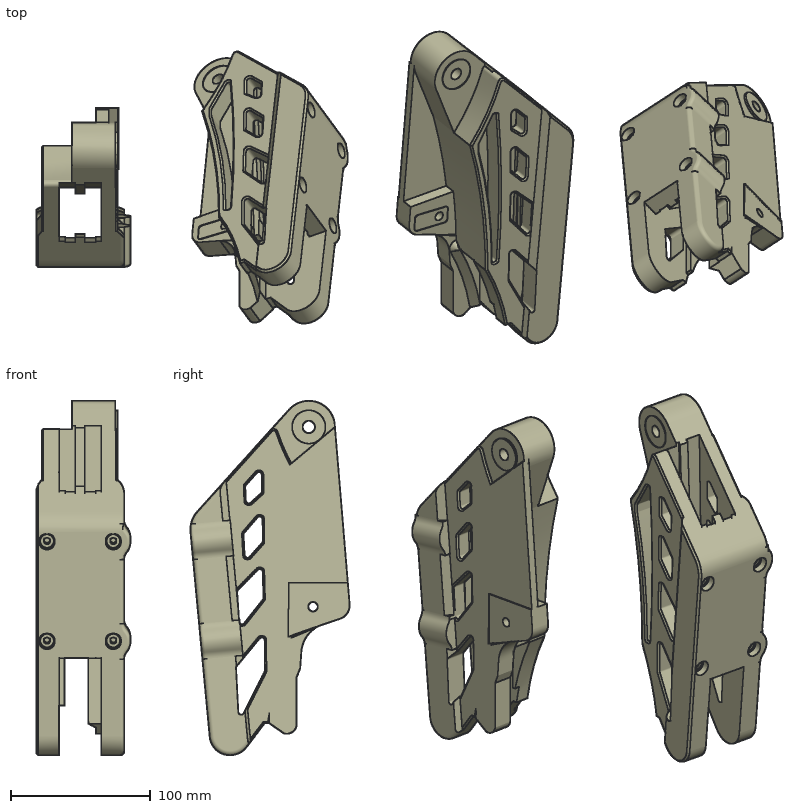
import cadquery as cq
import math

rail_left = 0.0
body_left = 3.8
pocket_left = 16.3
pocket_right = 46.5
tower_left = 25.5
tower_right = 56.5
body_right = 58.1
rail_right = 63.0

nose = (-1.0, 168.0)
lobe_centre = (28.2, 14.7)
lobe_radius = 14.7
eye_centre = (84.5, 235.0)
eye_radius = 18.8
lower_notch = (52.8, 22.9)
waist = (56.4, 22.9)
waist_bulge = (63.0, 50.3)
back_low = (73.5, 75.7)
back_top = (86.8, 186.4)
shoulder_y = 60.7
tower_foot_y = 55.9
tower_foot_low = (62.2, 193.0)
nose_radius = 19.0
shoulder_radius = 3.0

side_chamfer = 1.3
rail_left_chamfer = 1.5
rail_right_round = 3.0

rail_depth = 29.0
rail_ramp = 5.0
rail_foot_ramp = 2.0
rail_foot_top = 40.5

pocket_front_top = (18.3, 187.5)
pocket_front_low = (21.5, 69.5)
pocket_back_top = (60.2, 234.9)
pocket_back_low = (56.5, 69.5)
fork_top = 69.5
rear_slot_top = 76.2
rear_slot_left = 20.3
rear_slot_right = 37.0
left_lip_bottom = 35.5
guide_left = 28.0
guide_right = 34.8
guide_front_top = (21.0, 190.7)
guide_front_low = (23.5, 69.5)
guide_back_top = (58.7, 233.5)
guide_back_low = (51.5, 69.5)
relief_left = 20.5
relief_right = 42.7
relief_depth = 0.8

eye_hole_radius = 4.3
eye_ring_radius = 12.0
recess_depth = 0.5
web_left = 51.8
ear_left = 42.7
ear_right = 59.0
flange_ramp_angle = 45.0
ear_top = 123.5
ear_corner = (114.5, 100.3)
ear_corner_radius = 10.2
ear_root = (91.5, 92.5)
ear_inner_low = (69.8, 84.8)
ear_inner_top = (71.0, 208.2)
ear_hole_centre = (87.5, 106.5)
ear_hole_radius = 3.3
ear_recess_centre = (94.7, 107.0)
ear_recess_length = 28.5
ear_recess_height = 13.2
ear_recess_tilt = 3.3
ear_recess_corner_radius = 2.5

window_corner_radius = 2.0
groove_depth = 15.2
groove_corner_radius = 1.5

screw_xs = (7.5, 55.0)
screw_zs = (152.9, 81.5)
screw_hole_radius = 2.3
screw_head_radius = 4.8
screw_rim_radius = 5.5
screw_head_depth = 6.3
screw_hole_depth = 17.8
boss_radius = 12.5
boss_blend_radius = 7.5
boss_length = 29.2
boss_round = 2.5

far = 304.7


def tangent_point(outside, centre, radius, side):
    """Touch point on a circle of the tangent from an outside point; side is +1 or -1."""
    dy = outside[0] - centre[0]
    dz = outside[1] - centre[1]
    angle = math.atan2(dz, dy) + side * math.acos(radius / math.hypot(dy, dz))
    return (centre[0] + radius * math.cos(angle), centre[1] + radius * math.sin(angle))


def profile(x, start):
    """A sketch pen in the YZ plane at station x."""
    return cq.Workplane("YZ", origin=(x, 0, 0)).moveTo(*start)


def prism(x0, x1, points):
    return cq.Workplane("YZ", origin=(x0, 0, 0)).polyline(points).close().extrude(x1 - x0)


def cylinder(x0, x1, centre, radius):
    return cq.Workplane("YZ", origin=(x0, 0, 0)).center(*centre).circle(radius).extrude(x1 - x0)


front_touch = tangent_point(nose, lobe_centre, lobe_radius, 1)
rear_touch = tangent_point(lower_notch, lobe_centre, lobe_radius, -1)
eye_front = tangent_point(nose, eye_centre, eye_radius, -1)
eye_back = tangent_point(back_top, eye_centre, eye_radius, 1)
lobe_bottom = (lobe_centre[0], lobe_centre[1] - lobe_radius)
eye_top = (eye_centre[0], eye_centre[1] + eye_radius)
slant_slope = (eye_front[1] - nose[1]) / (eye_front[0] - nose[0])
rail_tilt = math.degrees(math.atan2(front_touch[0] - nose[0], nose[1] - front_touch[1]))


def slant_point(y):
    """Point on the slanted top line, which is tangent to the eye."""
    return (y, nose[1] + slant_slope * (y - nose[0]))


shoulder = slant_point(shoulder_y)


def main_plate(x0, x1):
    """Side outline: raked front, round lower lobe, waisted rear and slanted top."""
    plate = (
        profile(x0, nose)
        .lineTo(*front_touch)
        .threePointArc(lobe_bottom, rear_touch)
        .lineTo(*lower_notch)
        .lineTo(*waist)
        .threePointArc(waist_bulge, back_low)
        .threePointArc((76.7, 132.0), back_top)
        .threePointArc((71.5, 209.7), shoulder)
        .close()
        .extrude(x1 - x0)
    )
    middle_x = (x0 + x1) / 2
    plate = plate.edges(cq.selectors.NearestToPointSelector((middle_x, *nose))).fillet(nose_radius)
    return plate.edges(cq.selectors.NearestToPointSelector((middle_x, *shoulder))).fillet(shoulder_radius)


def windows():
    """Four round-cornered openings through both side walls, listed from the top down."""
    outlines = (
        ((52.0, 209.2), (37.8, 193.5), (38.5, 175.2), (52.3, 187.6)),
        ((52.5, 177.7), (36.5, 159.2), (37.8, 135.3), (52.8, 152.0)),
        ((52.5, 139.1), (32.0, 118.3), (34.0, 87.0), (53.3, 111.5)),
        ((54.0, 91.5), (31.2, 63.7), (33.5, 18.5), (54.3, 60.0)),
    )
    tools = cq.Workplane("YZ")
    for outline in outlines:
        sketch = cq.Workplane("YZ", origin=(rail_left, 0, 0)).polyline(outline).close()
        opening = sketch.offset2D(-side_chamfer).extrude(rail_right - rail_left)
        tools = tools.union(opening.edges("|X").fillet(window_corner_radius))
    return tools


def side_groove():
    """Blade-shaped pocket in the left wall along the rear edge."""
    groove = (
        profile(body_left, (69.0, 78.7))
        .lineTo(62.7, 78.7)
        .threePointArc((60.5, 147.3), (63.0, 207.2))
        .lineTo(67.5, 207.2)
        .lineTo(80.5, 185.4)
        .lineTo(80.5, 178.5)
        .threePointArc((72.9, 139.7), (69.0, 78.7))
        .close()
        .offset2D(-side_chamfer)
        .extrude(groove_depth)
    )
    return groove.edges("|X").fillet(groove_corner_radius)


def body():
    block = main_plate(body_left, body_right).cut(windows()).cut(side_groove())
    return block.faces("<X").chamfer(side_chamfer).faces(">X").chamfer(side_chamfer)


def rail_band(ramp):
    """Tilted bar that holds the rails; its rear flanks slope over the ramp length."""
    return (
        cq.Workplane("XY", origin=(0, nose[0], nose[1] - far))
        .polyline([
            (rail_left, -rail_depth),
            (rail_left, rail_depth - ramp),
            (body_left, rail_depth),
            (body_right, rail_depth),
            (rail_right, rail_depth - ramp),
            (rail_right, -rail_depth),
        ])
        .close()
        .extrude(2 * far)
        .rotate((0, *nose), (1, *nose), rail_tilt)
    )


def rails():
    """Raised front bands on both sides, ramped at the rear and steeper at the foot."""
    slab = main_plate(rail_left, rail_right)
    slab = slab.faces("<X").chamfer(rail_left_chamfer).faces(">X").edges().fillet(rail_right_round)
    foot_zone = cq.Workplane("XY").box(far, far, far).translate((0, 0, rail_foot_top - far / 2))
    return slab.intersect(rail_band(rail_ramp).union(rail_band(rail_foot_ramp).intersect(foot_zone)))


def tower():
    """Round-headed arm that carries the upper mounting eye."""
    arm = (
        profile(tower_left, slant_point(tower_foot_y))
        .lineTo(*eye_front)
        .threePointArc(eye_top, eye_back)
        .lineTo(*back_top)
        .lineTo(*tower_foot_low)
        .close()
        .extrude(tower_right - tower_left)
    )
    return arm.union(cylinder(tower_right, body_right, eye_centre, eye_ring_radius))


def ear():
    """Thin rear web that thickens below into the lower mounting ear."""
    eye_rear = (eye_centre[0] + eye_radius, eye_centre[1])
    outline = [eye_rear, ear_corner, ear_root, ear_inner_low, ear_inner_top]
    web = prism(web_left, body_right, outline)
    thick = prism(ear_left, ear_right, outline).intersect(
        cq.Workplane("XY").box(far, far, far).translate((0, 0, ear_top - far / 2))
    )
    corner = cq.selectors.NearestToPointSelector(((web_left + body_right) / 2, *ear_corner))
    web = web.edges(corner).fillet(ear_corner_radius)
    thick = thick.edges(corner).fillet(ear_corner_radius)
    return web.union(thick)


def rear_flange():
    """Right-hand flange from the ear down to the round heel, with a ramp up to the inner leg."""
    flange = (
        profile(rear_slot_right, ear_root)
        .threePointArc((82.8, 84.5), (79.2, 72.9))
        .lineTo(78.5, 62.2)
        .lineTo(76.0, 55.9)
        .lineTo(76.0, 21.3)
        .threePointArc((72.5, 16.5), (67.0, 15.5))
        .lineTo(*waist)
        .lineTo(pocket_back_low[0], rear_slot_top)
        .lineTo(back_low[0], ear_inner_low[1])
        .close()
        .extrude(body_right - rear_slot_right)
    )
    ramp = (
        profile(rear_slot_right, waist)
        .threePointArc(waist_bulge, back_low)
        .lineTo(waist[0], back_low[1])
        .close()
        .extrude(ear_left - rear_slot_right, taper=-flange_ramp_angle)
    )
    outer_zone = cq.Workplane("XY").box(far, 2 * far, 2 * far).translate((ear_left + far / 2, 0, 0))
    return flange.intersect(ramp.union(outer_zone))


def chain_pocket():
    """Passage through the full height, with a centre guide strip on its front and back walls."""
    walls = (pocket_front_top, pocket_front_low, pocket_back_low, pocket_back_top)
    guide_walls = (guide_front_top, guide_front_low, guide_back_low, guide_back_top)
    relief_front = [(y - relief_depth, z) for y, z in walls[:2]]

    def passage(x0, x1, front_top, front_low, back_low_end, back_top_end):
        outline = [front_top, front_low, back_low_end, back_top_end]
        return prism(x0, x1, [(front_top[0], far), *outline, (back_top_end[0], far)])

    pocket = passage(guide_left, guide_right, *guide_walls)
    for side_x, relief_x, guide_x in (
        (pocket_left, relief_left, guide_left),
        (pocket_right, relief_right, guide_right),
    ):
        pocket = pocket.union(passage(min(side_x, guide_x), max(side_x, guide_x), *walls))
        relief_ends = (min(relief_x, guide_x), max(relief_x, guide_x))
        pocket = pocket.union(passage(*relief_ends, *relief_front, *walls[2:]))
    return pocket


def fork_opening():
    """Space between the two legs and the slot through the rear wall."""
    fork_back = pocket_back_low[0]
    gap = prism(pocket_left, pocket_right, [
        (-far, -far), (-far, fork_top), (fork_back, fork_top), (fork_back, -far)
    ])
    slot = prism(rear_slot_left, rear_slot_right, [
        (fork_back, -far), (fork_back, rear_slot_top), (far, rear_slot_top), (far, -far)
    ])
    lip = cq.Workplane("XY").box(
        rear_slot_left - pocket_left, far, left_lip_bottom, centered=False
    ).translate((pocket_left, fork_back, 0))
    return gap.union(slot).union(lip)


def along_screw(solid, z):
    """Carry a solid built on the Y axis onto the raked front face at height z."""
    y = nose[0] + (nose[1] - z) * math.tan(math.radians(rail_tilt))
    return solid.rotate((0, 0, 0), (1, 0, 0), rail_tilt).translate((0, y, z))


def front_disc(x, radius, depth):
    return cq.Workplane("XZ").center(x, 0).circle(radius).extrude(-depth)


def screw_hole(x):
    hole = front_disc(x, screw_hole_radius, screw_hole_depth)
    head = front_disc(x, screw_rim_radius, screw_head_depth)
    head = head.faces(">Y").chamfer(screw_rim_radius - screw_head_radius)
    return hole.union(head)


def screw_boss(x):
    """Half-round swelling around a right-hand screw, blended into the rail side."""
    blend_x = rail_right + boss_blend_radius
    blend_z = math.sqrt((boss_radius + boss_blend_radius) ** 2 - (blend_x - x) ** 2)
    share = boss_radius / (boss_radius + boss_blend_radius)
    touch = (x + (blend_x - x) * share, blend_z * share)
    toward = math.atan2(touch[1] - blend_z, touch[0] - blend_x) % (2 * math.pi)
    middle_angle = (toward + math.pi) / 2
    middle = (
        blend_x + boss_blend_radius * math.cos(middle_angle),
        blend_z + boss_blend_radius * math.sin(middle_angle),
    )
    boss = (
        cq.Workplane("XZ")
        .moveTo(x, blend_z)
        .lineTo(rail_right, blend_z)
        .threePointArc(middle, touch)
        .threePointArc((x + boss_radius, 0), (touch[0], -touch[1]))
        .threePointArc((middle[0], -middle[1]), (rail_right, -blend_z))
        .lineTo(x, -blend_z)
        .close()
        .extrude(-boss_length)
    )
    return boss.faces("<Y").edges("%CIRCLE").fillet(boss_round)


result = body().union(rails()).union(tower()).union(ear()).union(rear_flange())
for screw_z in screw_zs:
    boss = along_screw(screw_boss(screw_xs[1]), screw_z)
    result = result.union(boss.intersect(main_plate(rail_left, far)))
result = result.cut(chain_pocket()).cut(fork_opening()).cut(windows())
for screw_z in screw_zs:
    for screw_x in screw_xs:
        result = result.cut(along_screw(screw_hole(screw_x), screw_z))

result = result.cut(cylinder(tower_left, body_right, eye_centre, eye_hole_radius))
result = result.cut(cylinder(tower_left, tower_left + recess_depth, eye_centre, eye_ring_radius))
result = result.cut(cylinder(ear_left, ear_right, ear_hole_centre, ear_hole_radius))
ear_seat = (
    cq.Workplane("YZ", origin=(ear_left, *ear_recess_centre))
    .rect(ear_recess_length, ear_recess_height)
    .extrude(recess_depth)
    .edges("|X")
    .fillet(ear_recess_corner_radius)
    .rotate((0, *ear_recess_centre), (1, *ear_recess_centre), ear_recess_tilt)
)
result = result.cut(ear_seat)